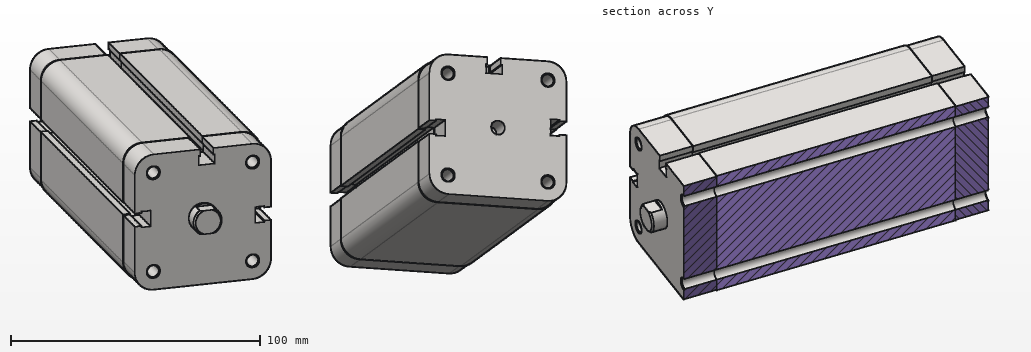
import cadquery as cq

total_length = 142.5
cap_length = 14.7
barrel_length = 106.5
rod_overhang = total_length - barrel_length - 2 * cap_length

barrel_width = 58.0
cap_inset = 0.25
cap_width = barrel_width - 2 * cap_inset
corner_radius = 8.0

slot_far_edge = 4.4
cap_slot_near_edge = 1.1
barrel_slot_near_edge = 0.7
undercut_near_edge = 1.7
undercut_far_edge = 5.0
shoulder_height = 26.0
cap_slot_floor = 22.1
barrel_slot_floor = 22.5
slot_angles = (0, 90, 270)

screw_spacing = 41.9
screw_hole_diameter = 4.8
screw_hole_chamfer = 0.4
port_diameter = 5.7
port_depth = 11.4

rod_diameter = 12.0
rod_across_flats = 10.0
rod_flat_length = 5.5
rod_chamfer = 0.7

rear_face = -total_length / 2
barrel_start = rear_face + cap_length
barrel_end = barrel_start + barrel_length
front_face = barrel_end + cap_length


def yz_plane(x):
    """Sketch plane across the X axis: local x is +Y, local y is +Z, extrusion goes to +X."""
    return cq.Workplane("YZ", origin=(x, 0, 0))


def slot_cutter(start, length, near_edge, floor, top):
    """Stepped slot for the +Z face, with an undercut below its opening."""
    profile = [
        (slot_far_edge, top),
        (slot_far_edge, shoulder_height),
        (undercut_far_edge, shoulder_height),
        (undercut_far_edge, floor),
        (-undercut_near_edge, floor),
        (-undercut_near_edge, shoulder_height),
        (-near_edge, shoulder_height),
        (-near_edge, top),
    ]
    return yz_plane(start).polyline(profile).close().extrude(length)


def screw_circles(x, diameter):
    """Four circles on the corners of the screw square, in the plane across X at x."""
    return (
        yz_plane(x)
        .rect(screw_spacing, screw_spacing, forConstruction=True)
        .vertices()
        .circle(diameter / 2)
    )


def slotted_block(start, length, width, near_edge, floor):
    """Rounded square block with three slots and four screw holes along X."""
    block = yz_plane(start).rect(width, width).extrude(length).edges("|X").fillet(corner_radius)
    slot = slot_cutter(start, length, near_edge, floor, width / 2)
    for angle in slot_angles:
        block = block.cut(slot.rotate((0, 0, 0), (1, 0, 0), angle))
    return block.cut(screw_circles(start, screw_hole_diameter).extrude(length))


def make_barrel():
    return slotted_block(barrel_start, barrel_length, barrel_width, barrel_slot_near_edge, barrel_slot_floor)


def make_cap(start, outer_face, inward):
    """End cap with chamfered screw holes; inward is the X direction (+1 or -1) into the part."""
    cap = slotted_block(start, cap_length, cap_width, cap_slot_near_edge, cap_slot_floor)
    mouth_diameter = screw_hole_diameter + 2 * screw_hole_chamfer
    chamfers = screw_circles(outer_face, mouth_diameter).extrude(inward * screw_hole_chamfer, taper=45)
    return cap.cut(chamfers)


def make_rear_cap():
    port = yz_plane(rear_face).circle(port_diameter / 2).extrude(port_depth)
    return make_cap(rear_face, rear_face, 1).cut(port)


def make_front_cap():
    rod_bore = yz_plane(barrel_end).circle(rod_diameter / 2).extrude(cap_length)
    return make_cap(barrel_end, front_face, -1).cut(rod_bore)


def make_rod():
    """Rod through the front cap, with a chamfered tip and two wrench flats facing +Z and -Z."""
    rod_length = cap_length + rod_overhang
    rod = yz_plane(barrel_end).circle(rod_diameter / 2).extrude(rod_length)
    rod = rod.faces(">X").chamfer(rod_chamfer)
    flat_start = barrel_end + rod_length - rod_flat_length
    flats = (
        yz_plane(flat_start)
        .rect(2 * rod_diameter, 2 * rod_diameter)
        .rect(2 * rod_diameter, rod_across_flats)
        .extrude(rod_flat_length)
    )
    return rod.cut(flats)


barrel = make_barrel()
rear_cap = make_rear_cap()
front_cap = make_front_cap()
rod = make_rod()

result = cq.Compound.makeCompound([barrel.val(), rear_cap.val(), front_cap.val(), rod.val()])